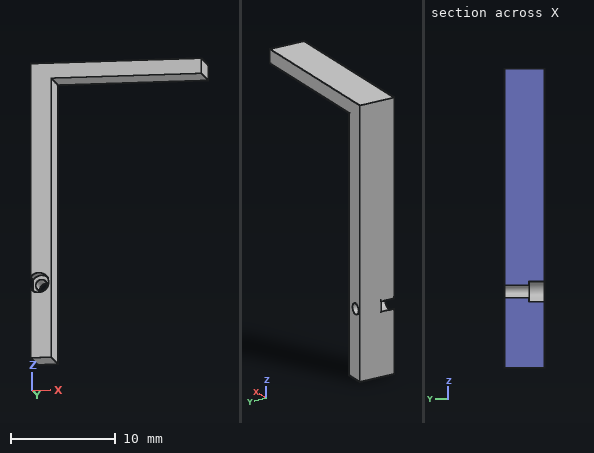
import cadquery as cq

length_x = 16.6
depth_y = 3.85
height_z = 28.6
leg_width = 2.0
arm_thickness = 1.5

hole_x = 0.8
hole_z = 7.3
hole_diameter = 1.12
counterbore_diameter = 1.92
counterbore_depth = 1.5


def bar(size_x, size_z, bottom_z):
    return cq.Workplane("XY").box(size_x, depth_y, size_z, centered=False).translate((0, 0, bottom_z))


def bore(diameter, depth):
    """Cylinder running into the part from its front face."""
    return (
        cq.Workplane("XZ")
        .center(hole_x, hole_z)
        .circle(diameter / 2)
        .extrude(-depth)
    )


leg = bar(leg_width, height_z, 0)
arm = bar(length_x, arm_thickness, height_z - arm_thickness)

result = (
    leg.union(arm)
    .cut(bore(hole_diameter, depth_y))
    .cut(bore(counterbore_diameter, counterbore_depth))
)